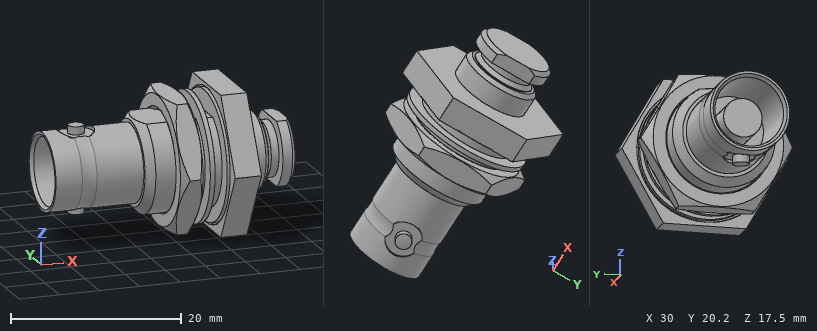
import cadquery as cq
import math

total_length = 30.0

tube_radius = 4.83
mouth_radius = 4.5
mouth_chamfer_length = 0.45
bore_front_radius = 4.17
bore_floor_radius = 4.02
bore_depth = 9.0
post_radius = 2.35
post_front_x = 3.33

pin_x = 4.2
pin_radius = 1.0
pin_tip_height = 5.5
pin_hole_depth = 0.18
spot_face_radius = 2.2
spot_face_height = 4.4
groove_width = 1.83
groove_depth = 0.12

collar_start_x = 10.95
collar_chamfer = 1.0
collar_radius = 6.25
collar_flat_height = 5.5

flange_start_x = 20.45
flange_thickness = 3.27
flange_across_flats = 17.5
sleeve_end_x = 26.7
sleeve_radius = 4.77
sleeve_chamfer = 0.5

nut_start_x = 14.4
nut_thickness = 2.82
nut_across_flats = 16.02
nut_face_radius = 7.92
nut_corner_chamfer_angle = 30.0
nut_thread_radius = 5.9
nut_countersink_radius = 6.4

ring_radius = 8.0
washer_start_x = 18.1
washer_thickness = 0.6
gasket_protrusion = 0.27
gasket_thickness = washer_thickness
gasket_recess_radius = 8.28

clamp_thread_radius = 3.9
clamp_shoulder_length = 0.1
clamp_taper_length = 0.55
clamp_thread_depth = 1.5
clamp_neck_radius = 3.42
clamp_head_start_x = 28.3
clamp_head_radius = sleeve_radius
clamp_head_chamfer = 0.48
clamp_flat_height = 4.02

flange_end_x = flange_start_x + flange_thickness
gasket_start_x = flange_start_x - gasket_protrusion
gasket_recess_depth = gasket_thickness - gasket_protrusion


def revolve_about_x(profile):
    """Solid of revolution about X from a closed list of (x, radius) points."""
    return cq.Workplane("XY").polyline(profile).close().revolve(360, (0, 0, 0), (1, 0, 0))


def disc(start_x, length, radius):
    """Cylinder along X."""
    return cq.Workplane("YZ", origin=(start_x, 0, 0)).circle(radius).extrude(length)


def corner_radius_of(across_flats):
    """Distance from the centre of a hexagon to its corners."""
    return across_flats / 2 / math.cos(math.radians(30))


def hexagon(start_x, length, across_flats):
    """Hexagonal prism along X with two flats facing up and down."""
    across_corners = 2 * corner_radius_of(across_flats)
    return cq.Workplane("YZ", origin=(start_x, 0, 0)).polygon(6, across_corners).extrude(length)


def cut_top_flat(solid, start_x, end_x, height):
    """Remove everything above the given height between two X positions."""
    block = (
        cq.Workplane("XY", origin=((start_x + end_x) / 2, 0, height))
        .rect(end_x - start_x, 2 * ring_radius)
        .extrude(ring_radius)
    )
    return solid.cut(block)


def make_threaded_collar(start_x, end_x):
    """Cylinder with a flat along its top, as it passes through the nut, the washer and the gasket."""
    collar = disc(start_x, end_x - start_x, collar_radius)
    return cut_top_flat(collar, start_x, end_x, collar_flat_height)


def make_bore():
    """Slightly tapered socket with a chamfered mouth, around a central post."""
    socket = revolve_about_x([
        (0, 0),
        (0, mouth_radius),
        (mouth_chamfer_length, bore_front_radius),
        (bore_depth, bore_floor_radius),
        (bore_depth, 0),
    ])
    return socket.cut(disc(post_front_x, bore_depth - post_front_x, post_radius))


def make_bayonet_groove():
    """Shallow ring with an arc-shaped bottom around the tube at the pins."""
    half_width = groove_width / 2
    return (
        cq.Workplane("XY")
        .moveTo(pin_x - half_width, tube_radius)
        .threePointArc((pin_x, tube_radius - groove_depth), (pin_x + half_width, tube_radius))
        .close()
        .revolve(360, (0, 0, 0), (1, 0, 0))
    )


def make_pin(side):
    """Bayonet pin pointing up (side = 1) or down (side = -1), its tip rounded about the connector axis."""
    base_height = spot_face_height - pin_hole_depth
    tip_sphere = cq.Workplane("XY", origin=(pin_x, 0, 0)).sphere(pin_tip_height)
    pin = (
        cq.Workplane("XY", origin=(pin_x, 0, base_height))
        .circle(pin_radius)
        .extrude(pin_tip_height)
        .intersect(tip_sphere)
    )
    return pin if side > 0 else pin.mirror("XY")


def make_spot_face(side):
    """Round pocket with a flat floor for one pin."""
    pocket = (
        cq.Workplane("XY", origin=(pin_x, 0, spot_face_height))
        .circle(spot_face_radius)
        .extrude(tube_radius)
    )
    return pocket if side > 0 else pocket.mirror("XY")


def make_clamp_nut():
    """Clamp nut screwed into the sleeve, with a tapered neck and two wrench flats."""
    taper_start_x = sleeve_end_x + clamp_shoulder_length
    head_chamfer_x = total_length - clamp_head_chamfer
    clamp = revolve_about_x([
        (sleeve_end_x - clamp_thread_depth, 0),
        (sleeve_end_x - clamp_thread_depth, clamp_thread_radius),
        (taper_start_x, clamp_thread_radius),
        (taper_start_x + clamp_taper_length, clamp_neck_radius),
        (clamp_head_start_x, clamp_neck_radius),
        (clamp_head_start_x, clamp_head_radius),
        (head_chamfer_x, clamp_head_radius),
        (total_length, clamp_head_radius - clamp_head_chamfer),
        (total_length, 0),
    ])
    for _ in range(2):
        clamp = cut_top_flat(clamp, clamp_head_start_x, total_length, clamp_flat_height).mirror("XY")
    return clamp


def make_body(clamp_nut, pins):
    """Connector body: bayonet tube, threaded collar, hexagonal flange and rear sleeve."""
    tube = disc(0, flange_start_x, tube_radius)
    tube = tube.cut(make_bayonet_groove())
    for side in (1, -1):
        tube = tube.cut(make_spot_face(side))

    collar_end_x = flange_start_x + gasket_recess_depth
    collar = disc(collar_start_x, collar_end_x - collar_start_x, collar_radius)
    collar = collar.faces("<X").chamfer(collar_chamfer)
    collar = cut_top_flat(collar, collar_start_x, collar_end_x, collar_flat_height)

    recess = disc(flange_start_x, gasket_recess_depth, gasket_recess_radius)
    flange = hexagon(flange_start_x, flange_thickness, flange_across_flats).cut(recess)

    sleeve = revolve_about_x([
        (flange_end_x, 0),
        (flange_end_x, sleeve_radius),
        (sleeve_end_x - sleeve_chamfer, sleeve_radius),
        (sleeve_end_x, sleeve_radius - sleeve_chamfer),
        (sleeve_end_x, 0),
    ])

    body = tube.union(collar).union(flange).union(sleeve).cut(make_bore()).cut(clamp_nut)
    for pin in pins:
        body = body.cut(pin)
    return body


def make_panel_nut():
    """Hexagonal nut with chamfered corners; its thread hole reaches over the edge of the collar flat."""
    end_x = nut_start_x + nut_thickness
    corner_radius = corner_radius_of(nut_across_flats)
    chamfer_length = (corner_radius - nut_face_radius) * math.tan(math.radians(nut_corner_chamfer_angle))
    envelope = revolve_about_x([
        (nut_start_x, 0),
        (nut_start_x, nut_face_radius),
        (nut_start_x + chamfer_length, corner_radius),
        (end_x - chamfer_length, corner_radius),
        (end_x, nut_face_radius),
        (end_x, 0),
    ])
    countersink_length = nut_countersink_radius - nut_thread_radius
    thread_hole = revolve_about_x([
        (nut_start_x, 0),
        (nut_start_x, nut_countersink_radius),
        (nut_start_x + countersink_length, nut_thread_radius),
        (end_x - countersink_length, nut_thread_radius),
        (end_x, nut_countersink_radius),
        (end_x, 0),
    ])
    nut = hexagon(nut_start_x, nut_thickness, nut_across_flats).intersect(envelope)
    return nut.cut(thread_hole).cut(make_threaded_collar(nut_start_x, end_x))


def make_ring(start_x, thickness):
    """Flat ring whose hole fits the collar and its flat."""
    ring = disc(start_x, thickness, ring_radius)
    return ring.cut(make_threaded_collar(start_x, start_x + thickness))


pins = [make_pin(side) for side in (1, -1)]
clamp_nut = make_clamp_nut()
body = make_body(clamp_nut, pins)
panel_nut = make_panel_nut()
washer = make_ring(washer_start_x, washer_thickness)
gasket = make_ring(gasket_start_x, gasket_thickness)

result = cq.Compound.makeCompound([
    body.val(),
    *[pin.val() for pin in pins],
    panel_nut.val(),
    washer.val(),
    gasket.val(),
    clamp_nut.val(),
])